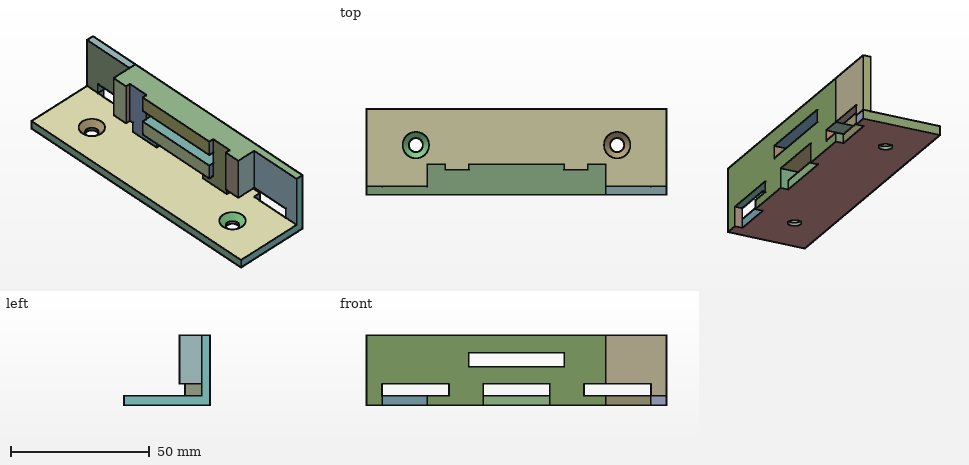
import cadquery as cq

LENGTH = 108.0
DEPTH = 31.0
HEIGHT = 25.3
MIDDLE = LENGTH / 2

BASE_THICKNESS = 3.6
WALL_THICKNESS = 3.0

BLOCK_LENGTH = 64.3
BLOCK_BACK = 11.0
BLOCK_BOTTOM = 7.8
FOOT_BACK = 9.1
BLOCK_START = MIDDLE - BLOCK_LENGTH / 2
BLOCK_END = MIDDLE + BLOCK_LENGTH / 2

UPPER_SLOT_LENGTH = 34.3
UPPER_SLOT_BOTTOM = 13.9
UPPER_SLOT_TOP = 18.9
NOTCH_LENGTH = 8.5
NOTCH_OFFSET = UPPER_SLOT_LENGTH / 2 + NOTCH_LENGTH / 2

MIDDLE_SLOT_LENGTH = 23.9
END_MARGIN = 5.6
OUTER_SLOT_LENGTH = 24.1
FOOT_START = END_MARGIN + OUTER_SLOT_LENGTH
FOOT_LENGTH = MIDDLE - MIDDLE_SLOT_LENGTH / 2 - FOOT_START

HOLE_DIAMETER = 5.0
COUNTERSINK_DIAMETER = 9.5
COUNTERSINK_ANGLE = 90
HOLE_SPACING = 72.5
HOLE_Y = 17.9


def box_between(x_range, y_range, z_range):
    """Box spanning the given (start, end) range on each axis."""
    (x0, x1), (y0, y1), (z0, z1) = x_range, y_range, z_range
    return cq.Workplane("XY").box(x1 - x0, y1 - y0, z1 - z0, centered=False).translate((x0, y0, z0))


def mirrored(shape):
    """Copy of a shape on the other side of the middle of the length."""
    return shape.mirror("YZ", (MIDDLE, 0, 0))


def outer_slot():
    """Left lower slot through the wall; its outer part also opens through the front of the base."""
    wall_depth = (0, WALL_THICKNESS)
    window = box_between((END_MARGIN, FOOT_START), wall_depth, (BASE_THICKNESS, BLOCK_BOTTOM))
    base_gap = box_between((END_MARGIN, BLOCK_START), wall_depth, (0, BASE_THICKNESS))
    return window.union(base_gap)


def middle_slot():
    """Middle lower slot, open through the wall and the front of the base."""
    half_length = MIDDLE_SLOT_LENGTH / 2
    return box_between((MIDDLE - half_length, MIDDLE + half_length), (0, WALL_THICKNESS), (0, BLOCK_BOTTOM))


def end_plate_envelope():
    """Space taken by the right-hand wall section above the base."""
    return box_between((BLOCK_END, LENGTH), (0, WALL_THICKNESS), (BASE_THICKNESS, HEIGHT))


def clamping_block():
    """Block with strap notches in its back, standing on two feet."""
    block = box_between((BLOCK_START, BLOCK_END), (WALL_THICKNESS, BLOCK_BACK), (BLOCK_BOTTOM, HEIGHT))
    foot = box_between(
        (FOOT_START, FOOT_START + FOOT_LENGTH),
        (WALL_THICKNESS, FOOT_BACK),
        (BASE_THICKNESS, BLOCK_BOTTOM),
    )
    notch_center = MIDDLE - NOTCH_OFFSET
    notch = box_between(
        (notch_center - NOTCH_LENGTH / 2, notch_center + NOTCH_LENGTH / 2),
        (FOOT_BACK, BLOCK_BACK),
        (BLOCK_BOTTOM, HEIGHT),
    )
    block = block.cut(notch).cut(mirrored(notch))
    return block.union(foot).union(mirrored(foot))


def make_bracket():
    """Base, wall and clamping block, without the right-hand wall section."""
    base = box_between((0, LENGTH), (0, DEPTH), (0, BASE_THICKNESS))
    wall = box_between((0, LENGTH), (0, WALL_THICKNESS), (0, HEIGHT))
    bracket = base.union(wall).union(clamping_block())

    left_slot = outer_slot()
    for slot in (left_slot, middle_slot(), mirrored(left_slot)):
        bracket = bracket.cut(slot)

    half_upper_slot = UPPER_SLOT_LENGTH / 2
    upper_slot = box_between(
        (MIDDLE - half_upper_slot, MIDDLE + half_upper_slot),
        (0, BLOCK_BACK),
        (UPPER_SLOT_BOTTOM, UPPER_SLOT_TOP),
    )
    bracket = bracket.cut(upper_slot).cut(end_plate_envelope())

    hole_positions = [(MIDDLE + side * HOLE_SPACING / 2, HOLE_Y) for side in (-1, 1)]
    return (
        bracket.copyWorkplane(cq.Workplane("XY", origin=(0, 0, BASE_THICKNESS)))
        .pushPoints(hole_positions)
        .cskHole(HOLE_DIAMETER, COUNTERSINK_DIAMETER, COUNTERSINK_ANGLE, depth=BASE_THICKNESS)
    )


def make_end_plate():
    """Separate right-hand wall section, resting on the corner of the base."""
    return end_plate_envelope().cut(mirrored(outer_slot()))


bracket = make_bracket()
end_plate = make_end_plate()

result = cq.Compound.makeCompound([bracket.solids().val(), end_plate.solids().val()])